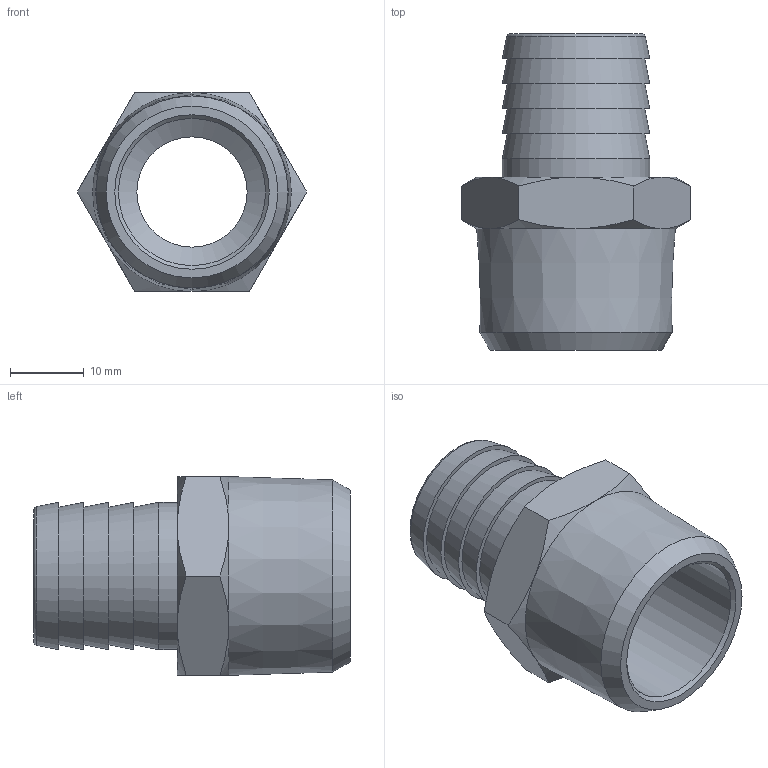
import cadquery as cq
import math


thread_length = 16.5
hex_length = 7.0
collar_length = 2.5
barb_pitch = 3.4
barb_count = 5

thread_taper = 1 / 32
thread_lead_length = 2.4
thread_lead_angle = 30

hex_sides = 6
across_flats = 27.0
hex_chamfer_angle = 30

barb_crest_radius = 10.0
barb_root_radius = 9.35
tip_fillet = 0.5

tail_bore_radius = 7.5
thread_bore_radius = 10.0
mouth_chamfer = 0.5
bore_cone_angle = 60
thread_bore_depth = 18.0

hex_start = thread_length
hex_end = hex_start + hex_length
barbs_start = hex_end + collar_length
total_length = barbs_start + barb_count * barb_pitch
flat_radius = across_flats / 2
corner_radius = flat_radius / math.cos(math.pi / hex_sides)


def revolve_about_y(profile_points):
    """Revolve a closed (radius, y) profile a full turn about the Y axis."""
    profile_in_plane = [(y, radius) for radius, y in profile_points]
    profile = cq.Workplane("YZ").polyline(profile_in_plane).close()
    return profile.revolve(360, (0, 0, 0), (1, 0, 0))


def make_thread_body():
    """Tapered male end with a conical lead-in, widest against the hexagon."""
    lead_radius = flat_radius - thread_taper * (thread_length - thread_lead_length)
    end_radius = lead_radius - thread_lead_length * math.tan(math.radians(thread_lead_angle))
    return revolve_about_y([
        (0, 0),
        (end_radius, 0),
        (lead_radius, thread_lead_length),
        (flat_radius, hex_start),
        (0, hex_start),
    ])


def make_hexagon():
    """Hexagon with corners on the X axis, corners turned off at both ends."""
    prism = (
        cq.Workplane("XZ", origin=(0, hex_start, 0))
        .polygon(hex_sides, 2 * corner_radius)
        .extrude(-hex_length)
    )
    corner_drop = (corner_radius - flat_radius) * math.tan(math.radians(hex_chamfer_angle))
    turned_envelope = revolve_about_y([
        (0, hex_start),
        (flat_radius, hex_start),
        (corner_radius, hex_start + corner_drop),
        (corner_radius, hex_end - corner_drop),
        (flat_radius, hex_end),
        (0, hex_end),
    ])
    return prism.intersect(turned_envelope)


def make_barbed_tail():
    """Plain collar followed by equal barbs that narrow toward the rounded tip."""
    points = [(0, hex_end), (barb_crest_radius, hex_end)]
    for index in range(barb_count):
        barb_start = barbs_start + index * barb_pitch
        points.append((barb_crest_radius, barb_start))
        points.append((barb_root_radius, barb_start + barb_pitch))
    points.append((0, total_length))
    return revolve_about_y(points).faces(">Y").edges().fillet(tip_fillet)


def make_passage():
    """Wide bore from the threaded end, coned down to the tail bore."""
    cone_length = (thread_bore_radius - tail_bore_radius) / math.tan(math.radians(bore_cone_angle))
    return revolve_about_y([
        (0, 0),
        (thread_bore_radius + mouth_chamfer, 0),
        (thread_bore_radius, mouth_chamfer),
        (thread_bore_radius, thread_bore_depth),
        (tail_bore_radius, thread_bore_depth + cone_length),
        (tail_bore_radius, total_length),
        (0, total_length),
    ])


body = make_thread_body().union(make_hexagon()).union(make_barbed_tail())
result = body.cut(make_passage())